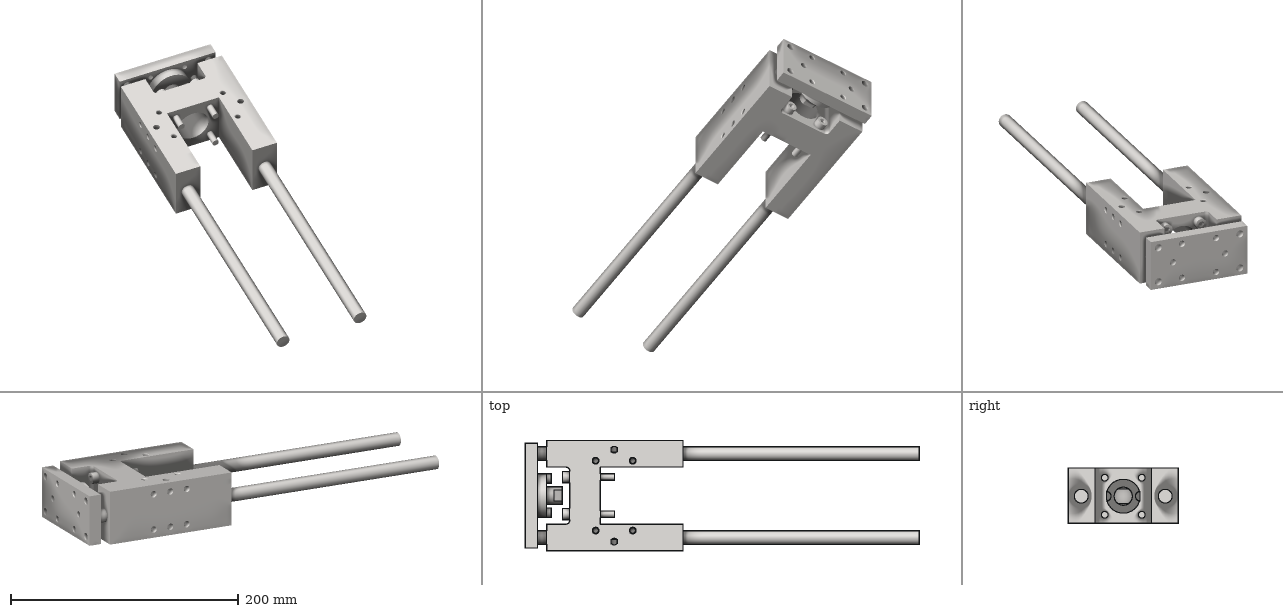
import cadquery as cq
import math

overall_length = 347.0
rod_diameter = 12.0
rod_spacing = 74.0

plate_thickness = 11.0
plate_width = 92.3
plate_height = 45.8
plate_gap = 8.0

flange_diameter = 38.0
flange_thickness = 8.0
flange_screw_diameter = 8.7
flange_screw_height = 4.0
flange_screw_spacing = 30.2
boss_diameter = 16.0
boss_length = 14.0
boss_flat_length = 7.5
boss_across_flats = 13.0

housing_length = 120.0
housing_width = 97.0
housing_height = 49.0
housing_top = 25.0
slot_width = 50.0
front_slot_depth = 20.0
front_slot_corner_radius = 3.0
web_thickness = 27.0
web_bore_diameter = 30.0

pattern_spacing = 32.5

bolt_diameter = 6.0
bolt_head_diameter = 10.0
bolt_head_height = 6.2
bolt_protrusion = 12.5
socket_across_flats = 5.0
socket_depth = 3.0

tap_diameter = 5.0
tap_chamfer = 0.52
tap_depth = 12.0
drill_point_angle = 118.0
dowel_diameter = 6.0
dowel_depth = 10.0
hole_pattern_offset = 59.5
top_tap_spacing = 61.5
top_dowel_spacing = 81.0

plate_corner_hole_diameter = 6.5
plate_corner_hole_spacing = 78.0
plate_dowel_spacing = 50.0

flange_rear = plate_thickness + flange_thickness
boss_end = flange_rear + boss_length
housing_front = plate_thickness + plate_gap
housing_rear = housing_front + housing_length
housing_bottom = housing_top - housing_height
web_front = housing_front + front_slot_depth
web_rear = web_front + web_thickness
hole_pattern_x = housing_front + hole_pattern_offset
half_pattern = pattern_spacing / 2
square_pattern = [(y, z) for y in (-half_pattern, half_pattern) for z in (-half_pattern, half_pattern)]
SIDES = (-1, 1)


def box_between(x_range, width, z_range):
    """Block between two X and two Z positions, centred on Y = 0."""
    length = x_range[1] - x_range[0]
    height = z_range[1] - z_range[0]
    block = cq.Workplane("XY").box(length, width, height, centered=(False, True, False))
    return block.translate((x_range[0], 0, z_range[0]))


def cylinder_along_x(diameter, start, end, y=0.0, z=0.0):
    return cq.Workplane("YZ", origin=(start, y, z)).circle(diameter / 2).extrude(end - start)


def dowel_hole(point, direction):
    """Flat-bottomed hole entering at point along direction."""
    hole = cq.Solid.makeCylinder(dowel_diameter / 2, dowel_depth, cq.Vector(*point), cq.Vector(*direction))
    return cq.Workplane(hole)


def tapped_hole(point, direction, depth=tap_depth):
    """Chamfered hole with a conical drill point, entering at point along direction."""
    radius = tap_diameter / 2
    point_length = radius / math.tan(math.radians(drill_point_angle / 2))
    profile = (
        cq.Workplane("XZ")
        .moveTo(0, 0)
        .lineTo(radius + tap_chamfer, 0)
        .lineTo(radius, tap_chamfer)
        .lineTo(radius, depth)
        .lineTo(0, depth + point_length)
        .close()
    )
    hole = profile.revolve(360, (0, 0, 0), (0, 1, 0)).val()
    entry = cq.Plane(origin=point, normal=direction)
    return cq.Workplane(hole.moved(cq.Location(entry)))



def make_housing_block():
    z_range = (housing_bottom, housing_top)
    block = box_between((housing_front, housing_rear), housing_width, z_range)
    front_slot = box_between((housing_front, web_front), slot_width, z_range)
    front_slot = front_slot.edges("|Z and >X").fillet(front_slot_corner_radius)
    rear_slot = box_between((web_rear, housing_rear), slot_width, z_range)
    return block.cut(front_slot).cut(rear_slot)


def make_web_bolt(y, z):
    head_front = web_front - bolt_head_height
    head = cylinder_along_x(bolt_head_diameter, head_front, web_front, y, z)
    shank = cylinder_along_x(bolt_diameter, web_front, web_rear + bolt_protrusion, y, z)
    socket_across_corners = socket_across_flats / math.cos(math.pi / 6)
    socket = (
        cq.Workplane("YZ", origin=(head_front, y, z))
        .polygon(6, socket_across_corners)
        .extrude(socket_depth)
    )
    return head.union(shank).cut(socket)


def cut_side_holes(housing, side):
    """Two rows on an outer side: a dowel hole between two tapped holes."""
    face_y = side * housing_width / 2
    inward = (0, -side, 0)
    for z in (-half_pattern, half_pattern):
        housing = housing.cut(dowel_hole((hole_pattern_x, face_y, z), inward))
        for x_offset in (-half_pattern, half_pattern):
            housing = housing.cut(tapped_hole((hole_pattern_x + x_offset, face_y, z), inward))
    return housing


def cut_top_holes(housing, side):
    """One dowel hole and two tapped holes in the top of an arm."""
    down = (0, 0, -1)
    housing = housing.cut(dowel_hole((hole_pattern_x, side * top_dowel_spacing / 2, housing_top), down))
    for x_offset in (-half_pattern, half_pattern):
        entry = (hole_pattern_x + x_offset, side * top_tap_spacing / 2, housing_top)
        housing = housing.cut(tapped_hole(entry, down))
    return housing


def make_housing():
    housing = make_housing_block()
    housing = housing.cut(cylinder_along_x(web_bore_diameter, web_front, web_rear))
    for y, z in square_pattern:
        housing = housing.union(make_web_bolt(y, z))
    for side in SIDES:
        rod_y = side * rod_spacing / 2
        housing = housing.cut(cylinder_along_x(rod_diameter, housing_front, housing_rear, rod_y))
        housing = cut_side_holes(housing, side)
        housing = cut_top_holes(housing, side)
    return housing



def make_plate():
    plate = box_between((0, plate_thickness), plate_width, (-plate_height / 2, plate_height / 2))
    for y, z in square_pattern:
        plate = plate.cut(tapped_hole((0, y, z), (1, 0, 0), plate_thickness))
    for side in SIDES:
        dowel_y = side * plate_dowel_spacing / 2
        plate = plate.cut(cylinder_along_x(dowel_diameter, 0, plate_thickness, dowel_y))
        corner_y = side * plate_corner_hole_spacing / 2
        for z in (-half_pattern, half_pattern):
            plate = plate.cut(cylinder_along_x(plate_corner_hole_diameter, 0, plate_thickness, corner_y, z))
    return plate


def make_coupling():
    coupling = cylinder_along_x(flange_diameter, plate_thickness, flange_rear)
    boss = cylinder_along_x(boss_diameter, flange_rear, boss_end)
    flats_start = boss_end - boss_flat_length
    half_flats = boss_across_flats / 2
    for z_range in ((half_flats, boss_diameter), (-boss_diameter, -half_flats)):
        boss = boss.cut(box_between((flats_start, boss_end), boss_diameter, z_range))
    coupling = coupling.union(boss)
    for side in SIDES:
        screw_y = side * flange_screw_spacing / 2
        screw_end = flange_rear + flange_screw_height
        coupling = coupling.union(cylinder_along_x(flange_screw_diameter, plate_thickness, screw_end, screw_y))
    return coupling


def make_yoke():
    yoke = make_plate().union(make_coupling())
    for side in SIDES:
        rod_y = side * rod_spacing / 2
        yoke = yoke.union(cylinder_along_x(rod_diameter, plate_thickness, overall_length, rod_y))
    return yoke


housing = make_housing()
yoke = make_yoke()

result = cq.Compound.makeCompound([housing.val(), yoke.val()])